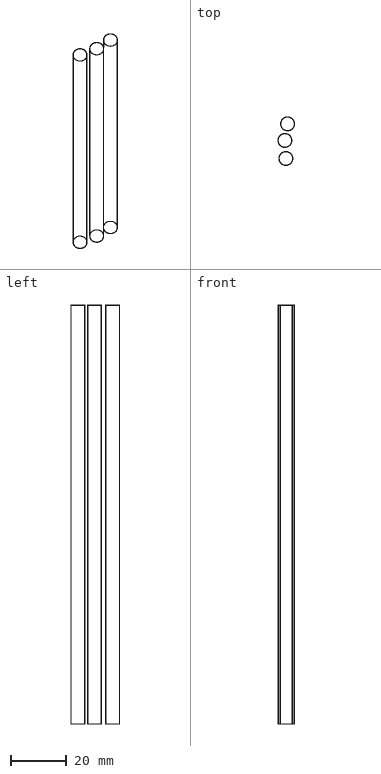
import cadquery as cq

rod_diameter = 5.0
rod_length = 150.38

rear_offset = (0.96, 5.95)
front_offset = (0.35, -6.48)
rod_axes = [rear_offset, (0.0, 0.0), front_offset]


def make_rod(axis):
    """Plain upright rod standing on the base plane at the given X, Y position."""
    return cq.Workplane("XY").center(*axis).circle(rod_diameter / 2).extrude(rod_length)


rods = [make_rod(axis) for axis in rod_axes]

result = cq.Compound.makeCompound([rod.val() for rod in rods])